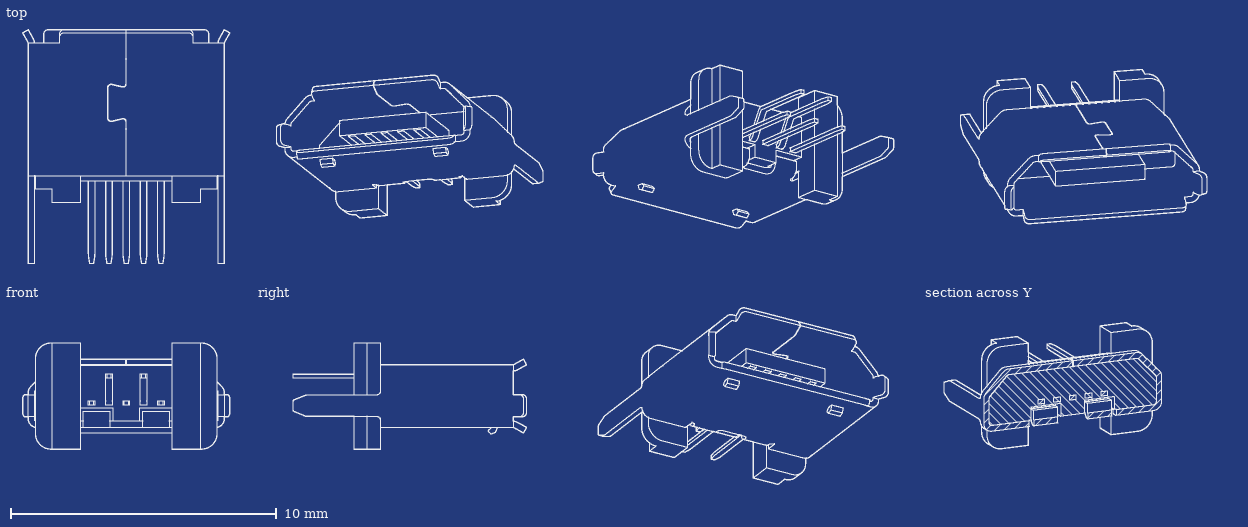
import cadquery as cq
import math


PICK = 0.09

SHEET = 0.25
SHELL_BEND = 0.35
FOLD_OUTER = 0.3
FOLD_INNER = FOLD_OUTER - SHEET

SHELL_LENGTH = 5.0
SHELL_HALF_WIDTH = 3.7
SHELL_HALF_HEIGHT = 1.19
BEVEL_WIDTH = 0.91
BEVEL_HEIGHT = 0.93
SIDE_CENTRE_Z = -0.36

LIP_END_Y = 5.5
LIP_ANGLE = 29.0
LIP_CORNER = 0.18
TOP_LIP_WIDTH = 5.02
BOTTOM_LIP_WIDTH = 6.21
SIDE_LIP_WIDTH = 0.84

SEAM_GAP = 0.02
KEY_DEPTH = 0.69
KEY_CENTRE_Y = 2.75
KEY_NECK_HALF = 0.55
KEY_HEAD_HALF = 0.72
KEY_CORNER = 0.12

OVERALL_LENGTH = 8.8
TIP_Y = LIP_END_Y - OVERALL_LENGTH

LEG_HALF_WIDTH = 0.405
LEG_TIP_HALF_WIDTH = 0.2
LEG_TAPER_LENGTH = 0.49
LEG_ROOT_RADIUS = 0.15
LEG_TAPER_RADIUS = 0.18
LEG_TIP_RADIUS = 0.09

TAB_WIDTH = 1.0
TAB_X = 1.12
TAB_TOP_Z = -0.57
TAB_ROOT_RADIUS = 0.18
TAB_NOTCH_HALF_WIDTH = TAB_X + TAB_WIDTH / 2 + TAB_ROOT_RADIUS

LUG_X = 2.25
LUG_WIDTH = 0.5
LUG_FRONT_Y = 4.4
LUG_REAR_Y = 4.04
LUG_DROP = 0.25
LUG_KNEE_SETBACK = 0.07
LUG_KNEE_DROP = 0.18
LUG_END_STEP = 0.12

POST_INNER_X = 1.72
POST_OUTER_X = 2.8
POST_LENGTH = 1.0
FLANGE_OUTER_X = 3.42
FLANGE_THICKNESS = 0.5
FLANGE_HEIGHT = 4.0
FLANGE_CORNER = 0.6
WALL_THICKNESS = 0.2
WALL_TOP_Z = 1.15
CORE_LENGTH = 1.76
TONGUE_END_Y = 4.4
TONGUE_WIDTH = 3.43
TONGUE_THICKNESS = 0.6
RECESS_INNER_X = 0.5
RECESS_TOP_Z = -0.44

PIN_COUNT = 5
PIN_PITCH = 0.65
PIN_WIDTH = 0.255
PIN_THICKNESS = 0.15
PIN_TIP_WIDTH = 0.16
PIN_TAPER_LENGTH = 0.3
PIN_SHOULDER_RADIUS = 1.0
PIN_FRONT_Y = 4.22
PIN_Z = -0.26
RAISED_PIN_Z = 0.75
PIN_BEND_RADIUS = 0.16
PIN_BEND_ANGLE = 60.0


def outer_section():
    """Outline of the shell section, wide below and bevelled above, centred on the Y axis."""
    bevel_x = SHELL_HALF_WIDTH - BEVEL_WIDTH
    bevel_z = SHELL_HALF_HEIGHT - BEVEL_HEIGHT
    corners = [
        (-SHELL_HALF_WIDTH, -SHELL_HALF_HEIGHT),
        (SHELL_HALF_WIDTH, -SHELL_HALF_HEIGHT),
        (SHELL_HALF_WIDTH, bevel_z),
        (bevel_x, SHELL_HALF_HEIGHT),
        (-bevel_x, SHELL_HALF_HEIGHT),
        (-SHELL_HALF_WIDTH, bevel_z),
    ]
    section = cq.Sketch().polygon(corners + corners[:1])
    return section.vertices().fillet(SHELL_BEND).reset()


def prism(section, length):
    """Extrude an X-Z section from Y = 0 towards the mating end."""
    return cq.Workplane("XZ").placeSketch(section).extrude(-length)


def shell_bore(length):
    """Space enclosed by the shell wall."""
    section = outer_section().wires().offset(-SHEET, mode="r").reset()
    return prism(section, length)


def lip(width, inner_distance):
    """Lip that flares away from the axis, on a wall whose inner face is inner_distance above it."""
    angle = math.radians(LIP_ANGLE)
    middle_z = inner_distance + SHEET / 2
    radius = FOLD_INNER + SHEET / 2
    bend_end_y = SHELL_LENGTH + FOLD_OUTER * math.sin(angle)
    straight = (LIP_END_Y - bend_end_y) / math.cos(angle)

    def on_bend(turn):
        return (SHELL_LENGTH + radius * math.sin(turn), middle_z + radius * (1 - math.cos(turn)))

    end_y, end_z = on_bend(angle)
    path = (
        cq.Workplane("YZ")
        .moveTo(SHELL_LENGTH, middle_z)
        .threePointArc(on_bend(angle / 2), (end_y, end_z))
        .lineTo(end_y + straight * math.cos(angle), end_z + straight * math.sin(angle))
    )
    strip = (
        cq.Workplane("XZ", origin=(0, SHELL_LENGTH, middle_z))
        .rect(width, SHEET)
        .sweep(path)
    )
    return strip.faces(">Y").edges("not(|X)").fillet(LIP_CORNER)


def turned(body, angle):
    """Turn a body about the Y axis."""
    return body.rotate((0, 0, 0), (0, 1, 0), angle)


def leg():
    """Flat solder leg in the plane of a shell side, with rounded roots."""
    root = LEG_HALF_WIDTH + LEG_ROOT_RADIUS
    taper_y = TIP_Y + LEG_TAPER_LENGTH
    arc_mid = LEG_ROOT_RADIUS * (1 - math.sqrt(0.5))
    blade = (
        cq.Workplane("YZ")
        .moveTo(0, root)
        .threePointArc((-arc_mid, LEG_HALF_WIDTH + arc_mid), (-LEG_ROOT_RADIUS, LEG_HALF_WIDTH))
        .lineTo(taper_y, LEG_HALF_WIDTH)
        .lineTo(TIP_Y, LEG_TIP_HALF_WIDTH)
        .lineTo(TIP_Y, -LEG_TIP_HALF_WIDTH)
        .lineTo(taper_y, -LEG_HALF_WIDTH)
        .lineTo(-LEG_ROOT_RADIUS, -LEG_HALF_WIDTH)
        .threePointArc((-arc_mid, -LEG_HALF_WIDTH - arc_mid), (0, -root))
        .close()
        .extrude(SHEET)
    )
    taper_box = cq.selectors.BoxSelector((-PICK, taper_y - PICK, -root), (SHEET + PICK, taper_y + PICK, root))
    blade = blade.edges("|X").edges(taper_box).fillet(LEG_TAPER_RADIUS)
    return blade.faces("<Y").edges("|X").fillet(LEG_TIP_RADIUS)


def seam():
    """Narrow gap along the top, stepping round the dovetail key of the right half."""
    beyond = 2 * SHELL_HALF_WIDTH
    neck_low = KEY_CENTRE_Y - KEY_NECK_HALF
    neck_high = KEY_CENTRE_Y + KEY_NECK_HALF
    right_half = (
        cq.Workplane("XY")
        .polyline([
            (0, -beyond),
            (0, neck_low),
            (-KEY_DEPTH, KEY_CENTRE_Y - KEY_HEAD_HALF),
            (-KEY_DEPTH, KEY_CENTRE_Y + KEY_HEAD_HALF),
            (0, neck_high),
            (0, beyond),
            (beyond, beyond),
            (beyond, -beyond),
        ])
        .close()
        .extrude(SHELL_HALF_WIDTH)
    )
    key_box = cq.selectors.BoxSelector(
        (-KEY_DEPTH - PICK, 0, 0), (PICK, SHELL_LENGTH, SHELL_HALF_WIDTH)
    )
    right_half = right_half.edges("|Z").edges(key_box).fillet(KEY_CORNER)
    widened = right_half.faces("<Z").wires().toPending().offset2D(SEAM_GAP).extrude(
        SHELL_HALF_WIDTH, combine=False
    )
    return widened.cut(right_half)


def tab():
    """Tab that runs back from the bottom of the shell and folds up, flush with Y = 0."""
    bottom = -SHELL_HALF_HEIGHT
    bend_z = bottom + FOLD_OUTER
    root_y = FOLD_OUTER + TAB_ROOT_RADIUS
    half = TAB_WIDTH / 2
    folded = (
        cq.Workplane("YZ", origin=(-half, 0, 0))
        .moveTo(root_y, bottom)
        .lineTo(FOLD_OUTER, bottom)
        .radiusArc((0, bend_z), FOLD_OUTER)
        .lineTo(0, TAB_TOP_Z)
        .lineTo(SHEET, TAB_TOP_Z)
        .lineTo(SHEET, bend_z)
        .radiusArc((FOLD_OUTER, bottom + SHEET), -FOLD_INNER)
        .lineTo(root_y, bottom + SHEET)
        .close()
        .extrude(TAB_WIDTH)
    )
    root = half + TAB_ROOT_RADIUS
    flared_root = (
        cq.Workplane("XY", origin=(0, 0, bottom))
        .moveTo(-root, root_y)
        .radiusArc((-half, FOLD_OUTER), TAB_ROOT_RADIUS)
        .lineTo(half, FOLD_OUTER)
        .radiusArc((root, root_y), TAB_ROOT_RADIUS)
        .close()
        .extrude(SHEET)
    )
    return folded.union(flared_root)


def lug():
    """Small hooked lug hanging below the shell, its blunt end facing down and back."""
    skin = -SHELL_HALF_HEIGHT
    return (
        cq.Workplane("YZ", origin=(-LUG_WIDTH / 2, 0, 0))
        .polyline([
            (LUG_FRONT_Y, skin),
            (LUG_FRONT_Y - LUG_KNEE_SETBACK, skin - LUG_KNEE_DROP),
            (LUG_REAR_Y + LUG_END_STEP, skin - LUG_DROP),
            (LUG_REAR_Y, skin - LUG_DROP + LUG_END_STEP),
            (LUG_REAR_Y + LUG_END_STEP, skin),
        ])
        .close()
        .extrude(LUG_WIDTH)
    )


def make_shell():
    """Wrapped sheet-metal shell with its lips, legs, tabs and lugs."""
    shell = prism(outer_section(), SHELL_LENGTH).cut(shell_bore(SHELL_LENGTH))

    notch_depth = FOLD_OUTER + TAB_ROOT_RADIUS
    notch = (
        cq.Workplane("XY", origin=(0, 0, -SHELL_HALF_HEIGHT))
        .rect(2 * TAB_NOTCH_HALF_WIDTH, 2 * notch_depth)
        .extrude(SHEET)
    )
    shell = shell.cut(notch)
    for side in (-1, 1):
        shell = shell.union(tab().translate((side * TAB_X, 0, 0)))
        shell = shell.union(lug().translate((side * LUG_X, 0, 0)))

    upright_inner = SHELL_HALF_HEIGHT - SHEET
    side_inner = SHELL_HALF_WIDTH - SHEET
    shell = shell.union(lip(TOP_LIP_WIDTH, upright_inner))
    shell = shell.union(turned(lip(BOTTOM_LIP_WIDTH, upright_inner), 180))
    for side in (-1, 1):
        side_lip = turned(lip(SIDE_LIP_WIDTH, side_inner), side * 90)
        shell = shell.union(side_lip.translate((0, 0, SIDE_CENTRE_Z)))

    for leg_x in (-SHELL_HALF_WIDTH, side_inner):
        shell = shell.union(leg().translate((leg_x, 0, SIDE_CENTRE_Z)))
    return shell.cut(seam())


def make_pin(x, raised):
    """Flat pin with a tapered tail; a raised pin steps up just behind the housing wall."""
    wall_y = -WALL_THICKNESS
    path = cq.Workplane("YZ").moveTo(PIN_FRONT_Y, PIN_Z)
    if raised:
        angle = math.radians(PIN_BEND_ANGLE)

        def bend(turn):
            return (PIN_BEND_RADIUS * math.sin(turn), PIN_BEND_RADIUS * (1 - math.cos(turn)))

        bend_y, bend_z = bend(angle)
        half_y, half_z = bend(angle / 2)
        rise = RAISED_PIN_Z - PIN_Z - 2 * bend_z
        top_y = wall_y - 2 * bend_y - rise / math.tan(angle)
        path = (
            path.lineTo(wall_y, PIN_Z)
            .threePointArc((wall_y - half_y, PIN_Z + half_z), (wall_y - bend_y, PIN_Z + bend_z))
            .lineTo(top_y + bend_y, RAISED_PIN_Z - bend_z)
            .threePointArc((top_y + half_y, RAISED_PIN_Z - half_z), (top_y, RAISED_PIN_Z))
            .lineTo(TIP_Y, RAISED_PIN_Z)
        )
    else:
        path = path.lineTo(TIP_Y, PIN_Z)
    strip = (
        cq.Workplane("XZ", origin=(0, PIN_FRONT_Y, PIN_Z))
        .rect(PIN_WIDTH, PIN_THICKNESS)
        .sweep(path)
    )
    taper_y = TIP_Y + PIN_TAPER_LENGTH
    plan = (
        cq.Workplane("XY", origin=(0, 0, -SHELL_HALF_HEIGHT))
        .polyline([
            (-PIN_WIDTH / 2, PIN_FRONT_Y),
            (-PIN_WIDTH / 2, taper_y),
            (-PIN_TIP_WIDTH / 2, TIP_Y),
            (PIN_TIP_WIDTH / 2, TIP_Y),
            (PIN_WIDTH / 2, taper_y),
            (PIN_WIDTH / 2, PIN_FRONT_Y),
        ])
        .close()
        .extrude(2 * SHELL_HALF_HEIGHT)
    )
    shoulder_box = cq.selectors.BoxSelector(
        (-PIN_WIDTH, taper_y - PICK, -SHELL_HALF_HEIGHT), (PIN_WIDTH, taper_y + PICK, SHELL_HALF_HEIGHT)
    )
    plan = plan.edges("|Z").edges(shoulder_box).fillet(PIN_SHOULDER_RADIUS)
    return strip.intersect(plan).translate((x, 0, 0))


def block(x_range, y_range, z_range):
    """Box between the given limits."""
    low, high = zip(x_range, y_range, z_range)
    size = [b - a for a, b in zip(low, high)]
    return cq.Workplane("XY").box(*size, centered=False).translate(low)


def make_housing(pins):
    """Moulded housing: core and tongue in the shell, rear wall, mounting posts and pin slots."""
    inner_bottom = SHEET - SHELL_HALF_HEIGHT
    tongue_bottom = PIN_Z - PIN_THICKNESS / 2
    half_height = FLANGE_HEIGHT / 2

    housing = shell_bore(CORE_LENGTH)
    housing = housing.union(block(
        (-TONGUE_WIDTH / 2, TONGUE_WIDTH / 2),
        (0, TONGUE_END_Y),
        (tongue_bottom, tongue_bottom + TONGUE_THICKNESS),
    ))
    housing = housing.union(block(
        (-POST_INNER_X, POST_INNER_X), (-WALL_THICKNESS, 0), (inner_bottom, WALL_TOP_Z)
    ))

    flange = block(
        (POST_INNER_X, FLANGE_OUTER_X), (-FLANGE_THICKNESS, 0), (-half_height, half_height)
    )
    flange = flange.faces(">X").edges("|Y").fillet(FLANGE_CORNER)
    post = block((POST_INNER_X, POST_OUTER_X), (-POST_LENGTH, 0), (-half_height, half_height))
    mount = flange.union(post)
    recess = block(
        (RECESS_INNER_X, POST_INNER_X), (-WALL_THICKNESS, FOLD_OUTER), (inner_bottom, RECESS_TOP_Z)
    )
    for feature in (mount, mount.mirror("YZ")):
        housing = housing.union(feature)
    for feature in (recess, recess.mirror("YZ")):
        housing = housing.cut(feature)

    for pin in pins:
        housing = housing.cut(pin)
    return housing


pins = []
for index in range(PIN_COUNT):
    pin_x = (index - (PIN_COUNT - 1) / 2) * PIN_PITCH
    pins.append(make_pin(pin_x, raised=index % 2 == 1))

shell = make_shell()
housing = make_housing(pins)

result = cq.Compound.makeCompound([shell.val(), housing.val(), *[pin.val() for pin in pins]])